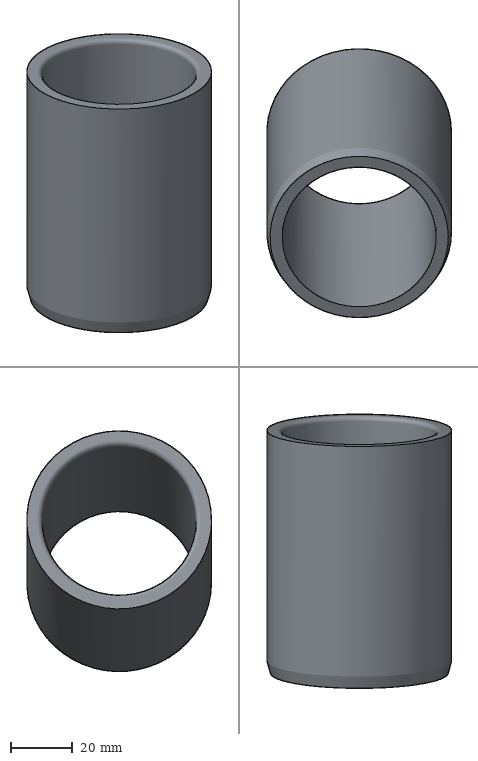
import cadquery as cq
import math

length = 80.0
outer_diameter = 60.0
bore_diameter = 50.0
bore_rounding = 1.5
lead_in_height = 4.0
lead_in_angle = 15.0

outer_radius = outer_diameter / 2
bore_radius = bore_diameter / 2
lead_in_depth = lead_in_height * math.tan(math.radians(lead_in_angle))


def wall_profile():
    """Half section of the wall, drawn as radius against height."""
    arc_offset = bore_rounding * (1 - math.sqrt(0.5))
    return (
        cq.Workplane("XZ")
        .moveTo(bore_radius, 0)
        .lineTo(outer_radius - lead_in_depth, 0)
        .lineTo(outer_radius, lead_in_height)
        .lineTo(outer_radius, length)
        .lineTo(bore_radius + bore_rounding, length)
        .threePointArc(
            (bore_radius + arc_offset, length - arc_offset),
            (bore_radius, length - bore_rounding),
        )
        .close()
    )


result = wall_profile().revolve(360, (0, 0, 0), (0, 1, 0))